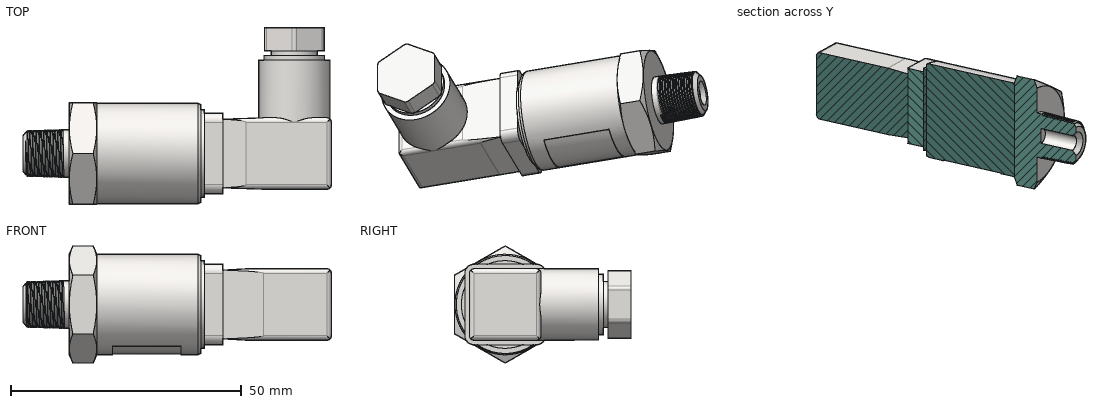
import cadquery as cq
import math


tip_diameter = 7.8
tip_chamfer_length = 0.9
neck_diameter = 10.35
neck_start_x = 8.8
thread_taper = 1 / 16
thread_start_x = 0.3
thread_pitch = 0.605
thread_depth = 0.4
thread_groove_width = 0.58
bore_diameter = 3.3
bore_depth = 9.0
countersink_diameter = 5.3
countersink_depth = 1.0
hex_start_x = 10.0
hex_length = 6.0
hex_across_flats = 22.0
hex_chamfer_diameter = 21.8
hex_chamfer_length = 0.8

sleeve_diameter = 21.8
sleeve_length = 22.5
sleeve_chamfer_length = 0.6
sleeve_end_diameter = 21.2
recess_start_x = 19.4
recess_length = 14.8
recess_depth = 0.15
recess_half_angle = 33.0

ring_diameter = 19.0
ring_length = 0.8
gasket_size = 17.5
gasket_length = 4.0
gasket_corner_radius = 2.0

housing_size = 15.5
housing_length = 23.5
housing_edge_radius = 1.0
side_taper_length = 8.8
top_taper_length = 5.0
taper_inset = housing_edge_radius * (1 - math.sqrt(0.5))

gland_x = 58.75
gland_barrel_length = 12.5
gland_barrel_diameter = housing_size
washer_diameter = 13.16
washer_length = 1.0
nut_neck_diameter = 10.0
nut_neck_length = 1.0
nut_across_flats = 13.0
nut_length = 5.0
nut_corner_radius = 1.0

sleeve_start_x = hex_start_x + hex_length
ring_start_x = sleeve_start_x + sleeve_length
gasket_start_x = ring_start_x + ring_length
housing_start_x = gasket_start_x + gasket_length
washer_start_y = housing_size / 2 + gland_barrel_length
nut_neck_start_y = washer_start_y + washer_length
nut_start_y = nut_neck_start_y + nut_neck_length


def plane_across_x(x):
    """Work plane facing +X, with local x along Y and local y along Z."""
    return cq.Workplane("YZ", origin=(x, 0, 0))


def plane_across_gland(y):
    """Work plane facing +Y on the gland axis, with local x along Z and local y along X."""
    return cq.Workplane(cq.Plane(origin=(gland_x, y, 0), xDir=(0, 0, 1), normal=(0, 1, 0)))


def turned(profile):
    """Solid of revolution about X from (x, radius) points."""
    return cq.Workplane("XY").polyline(profile).close().revolve(360, (0, 0, 0), (1, 0, 0))


def hexagon_across_corners(across_flats):
    return across_flats / math.cos(math.pi / 6)


def make_thread_groove():
    """Helical V groove that follows the taper of the threaded stub."""
    length = neck_start_x - thread_start_x
    start_radius = neck_diameter / 2 - length * thread_taper / 2
    taper_angle = math.degrees(math.atan(thread_taper / 2))
    helix = cq.Wire.makeHelix(thread_pitch, length, start_radius, angle=taper_angle)
    half_width = thread_groove_width / 2
    profile = [
        (start_radius - thread_depth, 0),
        (start_radius, half_width),
        (start_radius, -half_width),
    ]
    groove = cq.Workplane("XZ").polyline(profile).close().sweep(cq.Workplane(helix), isFrenet=True)
    return groove.rotate((0, 0, 0), (0, 1, 0), 90).translate((thread_start_x, 0, 0))


def make_hexagon():
    """Spanner hexagon with its corners turned off conically at both ends."""
    corner_diameter = hexagon_across_corners(hex_across_flats)
    hexagon = (
        plane_across_x(hex_start_x)
        .polygon(6, corner_diameter)
        .extrude(hex_length)
        .rotate((0, 0, 0), (1, 0, 0), 90)
    )
    envelope = turned([
        (hex_start_x, 0),
        (hex_start_x, hex_chamfer_diameter / 2),
        (hex_start_x + hex_chamfer_length, corner_diameter / 2),
        (sleeve_start_x - hex_chamfer_length, corner_diameter / 2),
        (sleeve_start_x, hex_chamfer_diameter / 2),
        (sleeve_start_x, 0),
    ])
    return hexagon.intersect(envelope)


def make_fitting():
    """Taper-threaded stub with a countersunk blind bore, in one piece with the hexagon."""
    neck_radius = neck_diameter / 2
    chamfer_end_radius = neck_radius - (neck_start_x - tip_chamfer_length) * thread_taper / 2
    stub = turned([
        (0, 0),
        (0, tip_diameter / 2),
        (tip_chamfer_length, chamfer_end_radius),
        (neck_start_x, neck_radius),
        (hex_start_x, neck_radius),
        (hex_start_x, 0),
    ])
    bore = turned([
        (0, 0),
        (0, countersink_diameter / 2),
        (countersink_depth, bore_diameter / 2),
        (bore_depth, bore_diameter / 2),
        (bore_depth, 0),
    ])
    return stub.cut(make_thread_groove()).union(make_hexagon()).cut(bore)


def make_label_recess():
    """Shallow curved recess on the underside of the sleeve."""
    floor_radius = sleeve_diameter / 2 - recess_depth
    cutter_radius = sleeve_diameter
    shell = (
        plane_across_x(recess_start_x)
        .circle(cutter_radius)
        .circle(floor_radius)
        .extrude(recess_length)
    )
    wedge_half_width = cutter_radius * math.tan(math.radians(recess_half_angle))
    wedge = (
        plane_across_x(recess_start_x)
        .polyline([(0, 0), (wedge_half_width, -cutter_radius), (-wedge_half_width, -cutter_radius)])
        .close()
        .extrude(recess_length)
    )
    return shell.intersect(wedge)


def make_sleeve():
    """Cylindrical body, chamfered at the plug end."""
    sleeve = turned([
        (sleeve_start_x, 0),
        (sleeve_start_x, sleeve_diameter / 2),
        (ring_start_x - sleeve_chamfer_length, sleeve_diameter / 2),
        (ring_start_x, sleeve_end_diameter / 2),
        (ring_start_x, 0),
    ])
    return sleeve.cut(make_label_recess())


def make_ring():
    return plane_across_x(ring_start_x).circle(ring_diameter / 2).extrude(ring_length)


def make_gasket():
    """Square gasket with rounded corners."""
    block = plane_across_x(gasket_start_x).rect(gasket_size, gasket_size).extrude(gasket_length)
    return block.edges("|X").fillet(gasket_corner_radius)


def make_taper_wedge(taper_length):
    """Sliver removed from the top of the housing, deepest at the gasket."""
    top_z = housing_size / 2
    return (
        cq.Workplane("XZ")
        .polyline([
            (housing_start_x, top_z - taper_inset),
            (housing_start_x + taper_length, top_z),
            (housing_start_x, top_z),
        ])
        .close()
        .extrude(housing_size / 2, both=True)
    )


def make_rounded_block():
    """Square block rounded along X and at its far end, the roundings meeting in mitred corners."""
    lengthwise = (
        plane_across_x(housing_start_x)
        .rect(housing_size, housing_size)
        .extrude(housing_length)
        .edges("|X")
        .fillet(housing_edge_radius)
    )
    end_rounded = (
        plane_across_x(housing_start_x)
        .rect(housing_size, housing_size)
        .extrude(housing_length)
        .edges(">X and |Z")
        .fillet(housing_edge_radius)
    )
    return lengthwise.intersect(end_rounded).intersect(end_rounded.rotate((0, 0, 0), (1, 0, 0), 90))


def make_housing():
    """Square plug housing, slightly tapered towards the gasket, with the gland barrel on its +Y side."""
    housing = make_rounded_block()
    taper_lengths = [top_taper_length, side_taper_length, top_taper_length, side_taper_length]
    for side, taper_length in enumerate(taper_lengths):
        wedge = make_taper_wedge(taper_length).rotate((0, 0, 0), (1, 0, 0), 90 * side)
        housing = housing.cut(wedge)
    barrel = plane_across_gland(0).circle(gland_barrel_diameter / 2).extrude(washer_start_y)
    return housing.union(barrel)


def make_washer():
    return plane_across_gland(washer_start_y).circle(washer_diameter / 2).extrude(washer_length)


def make_nut():
    """Gland nut: a hexagon with rounded corners, on a round neck."""
    hexagon = (
        plane_across_gland(nut_start_y)
        .polygon(6, hexagon_across_corners(nut_across_flats))
        .extrude(nut_length)
        .edges("|Y")
        .fillet(nut_corner_radius)
    )
    neck = plane_across_gland(nut_neck_start_y).circle(nut_neck_diameter / 2).extrude(nut_neck_length)
    return hexagon.union(neck)


fitting = make_fitting()
sleeve = make_sleeve()
ring = make_ring()
gasket = make_gasket()
housing = make_housing()
washer = make_washer()
nut = make_nut()

result = cq.Compound.makeCompound([
    fitting.val(),
    sleeve.val(),
    ring.val(),
    gasket.val(),
    housing.val(),
    washer.val(),
    nut.val(),
])